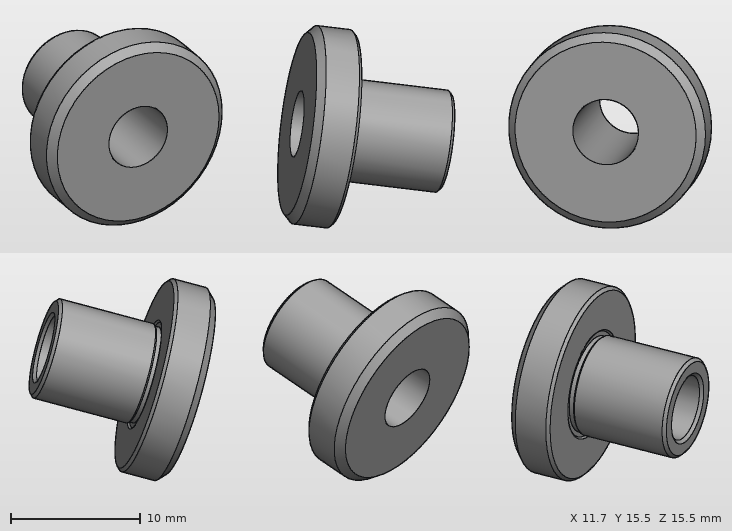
import cadquery as cq

total_length = 11.66
flange_diameter = 15.47
flange_thickness = 3.5
shank_diameter = 7.97
bore_diameter = 5.15

small_chamfer = 0.25
flange_back_chamfer = 0.62

neck_diameter = 7.69
undercut_width = 0.37

flange_radius = flange_diameter / 2
shank_radius = shank_diameter / 2
neck_radius = neck_diameter / 2
bore_radius = bore_diameter / 2
flange_face = total_length - flange_thickness
undercut_depth = shank_radius - neck_radius
shank_end = flange_face - undercut_width
recess_radius = shank_radius + undercut_width
recess_floor = flange_face + undercut_depth

profile = [
    (small_chamfer, shank_radius),
    (shank_end, shank_radius),
    (shank_end + undercut_depth, neck_radius),
    (recess_floor, neck_radius),
    (recess_floor, recess_radius - undercut_depth),
    (flange_face, recess_radius),
    (flange_face, flange_radius - small_chamfer),
    (flange_face + small_chamfer, flange_radius),
    (total_length - flange_back_chamfer, flange_radius),
    (total_length, flange_radius - flange_back_chamfer),
    (total_length, bore_radius),
    (small_chamfer, bore_radius),
    (0, bore_radius + small_chamfer),
    (0, shank_radius - small_chamfer),
]

result = cq.Workplane("XY").polyline(profile).close().revolve(360, (0, 0, 0), (1, 0, 0))